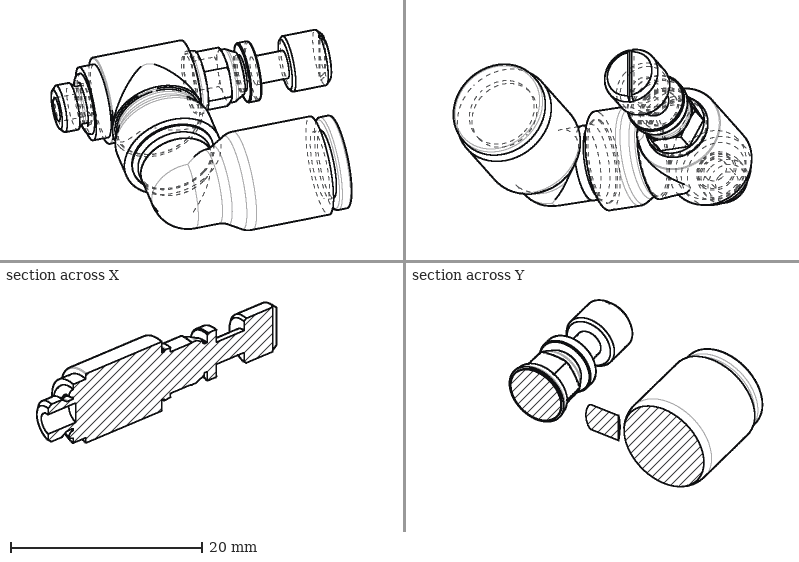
import cadquery as cq
import math


flare_angle = math.radians(30)

body_radius = 4.6
body_half_length = 4.85
body_edge_radius = 0.1

seat_radius = 3.15
seat_top = 5.1
flange_radius = 3.4
flange_top_radius = 3.27
flange_cone_start = 5.3
hex_bottom = 5.95
hex_top = 8.6
hex_across_flats = 5.55
hex_chamfer_radius = 2.95
hex_chamfer_height = 0.18
shoulder_radius = 2.83
shoulder_round_start = 9.1
shoulder_cone_start = 9.35
shoulder_cone_start_radius = 2.75
shoulder_cone_top = 10.22
shoulder_cone_top_radius = 2.28
neck_radius = 1.95
collar_bottom = 10.55
collar_top = 11.8
collar_radius = 3.18
collar_chamfer = 0.12
stem_radius = 1.5
knob_bottom = 15.25
knob_top = 19.55
knob_radius = 2.98
knob_top_chamfer = 0.5
knob_bottom_chamfer = 0.3
slot_width = 0.45
slot_depth = 0.6

spigot_radius = 3.9
spigot_end = -6.45
seal_ring_radius = 2.72
seal_section_radius = 0.53
groove_radius = 2.0
groove_end = -7.12
groove_fillet_length = 0.23
thread_radius = 2.5
thread_start = -7.85
thread_cone_angle = math.radians(45)
thread_end = -9.65
thread_chamfer = 0.4
bore_radius = 1.25
bore_depth = 3.5

branch_root_radius = 4.53
branch_end_radius = 4.9
swivel_root_fillet = 0.15
swivel_flare_start = 5.05
swivel_flare_root_length = 0.58
swivel_flare_cone_length = 0.82
swivel_flare_rim_length = 0.47
swivel_radius = 5.25
swivel_end = 10.28
sleeve_collar_radius = 4.45
sleeve_collar_end = 10.45
sleeve_cone_end = 10.95
sleeve_radius = 3.97
sleeve_end = 11.95
elbow_radius = 3.95

socket_x = 15.9
socket_radius = 5.25
socket_flare_start = 2.63
socket_flare_end = 5.95
socket_end = 14.37
release_neck_radius = 3.62
release_bottom = 15.15
release_top = 16.5
release_radius = 4.95
release_edge_radius = 0.23


def disc(radius, start, end):
    """Cylinder on the Y axis between two Y positions."""
    return cq.Workplane("XZ", origin=(0, end, 0)).circle(radius).extrude(end - start)


def turned(points):
    """Solid of revolution about Y from (radius, y) points, closed along the axis."""
    outline = [(0, points[0][1])] + points + [(0, points[-1][1])]
    return cq.Workplane("XY").polyline(outline).close().revolve(360, (0, 0), (0, 1))


def make_body():
    return disc(body_radius, -body_half_length, body_half_length).edges().fillet(body_edge_radius)


def make_hex():
    hex_corner_diameter = hex_across_flats / math.cos(math.pi / 6)
    hexagon = (
        cq.Workplane("XZ", origin=(0, hex_top, 0))
        .polygon(6, hex_corner_diameter)
        .extrude(hex_top - hex_bottom)
    )
    corner_cut = turned([
        (hex_corner_diameter / 2, hex_bottom),
        (hex_corner_diameter / 2, hex_top - hex_chamfer_height),
        (hex_chamfer_radius, hex_top),
    ])
    return hexagon.intersect(corner_cut)


def make_adjusting_screw():
    seat = turned([
        (seat_radius, 0),
        (seat_radius, seat_top),
        (flange_radius, seat_top),
        (flange_radius, flange_cone_start),
        (flange_top_radius, hex_bottom),
    ])
    shoulder = (
        cq.Workplane("XY")
        .moveTo(0, hex_top)
        .lineTo(shoulder_radius, hex_top)
        .lineTo(shoulder_radius, shoulder_round_start)
        .tangentArcPoint((shoulder_cone_start_radius, shoulder_cone_start), relative=False)
        .lineTo(shoulder_cone_top_radius, shoulder_cone_top)
        .lineTo(0, shoulder_cone_top)
        .close()
        .revolve(360, (0, 0), (0, 1))
    )
    neck = disc(neck_radius, shoulder_cone_top, collar_bottom)
    collar = disc(collar_radius, collar_bottom, collar_top).edges().chamfer(collar_chamfer)
    stem = disc(stem_radius, collar_top, knob_bottom)
    knob = (
        disc(knob_radius, knob_bottom, knob_top)
        .faces(">Y").edges().chamfer(knob_top_chamfer)
        .faces("<Y").edges().chamfer(knob_bottom_chamfer)
    )
    slot = cq.Workplane("XY").box(slot_width, 2 * slot_depth, 2 * knob_radius)
    knob = knob.cut(slot.translate((0, knob_top, 0)))
    screw = seat.union(make_hex())
    for piece in (shoulder, neck, collar, stem, knob):
        screw = screw.union(piece)
    return screw


def make_threaded_end():
    fillet_end = groove_end - groove_fillet_length
    fillet_end_radius = groove_radius + groove_fillet_length * math.tan(thread_cone_angle / 2)
    end = (
        cq.Workplane("XY")
        .lineTo(spigot_radius, 0)
        .lineTo(spigot_radius, spigot_end)
        .lineTo(groove_radius, spigot_end)
        .lineTo(groove_radius, groove_end)
        .tangentArcPoint((fillet_end_radius, fillet_end), relative=False)
        .lineTo(thread_radius, thread_start)
        .lineTo(thread_radius, thread_end + thread_chamfer)
        .lineTo(thread_radius - thread_chamfer, thread_end)
        .lineTo(0, thread_end)
        .close()
        .revolve(360, (0, 0), (0, 1))
    )
    seal = (
        cq.Workplane("XY")
        .center(seal_ring_radius, spigot_end)
        .circle(seal_section_radius)
        .revolve(360, (-seal_ring_radius, 0), (-seal_ring_radius, 1))
    )
    return end.union(seal)


def make_swivel_arm():
    root_rise = swivel_flare_root_length * math.tan(flare_angle / 2)
    cone_rise = swivel_flare_cone_length * math.tan(flare_angle)
    rim_rise = swivel_flare_rim_length * math.tan(flare_angle / 2)
    neck_radius = swivel_radius - root_rise - cone_rise - rim_rise
    cone_start = swivel_flare_start + swivel_flare_root_length
    cone_end = cone_start + swivel_flare_cone_length
    flare_end = cone_end + swivel_flare_rim_length
    return (
        cq.Workplane("XY")
        .lineTo(0, branch_root_radius)
        .lineTo(body_radius, branch_end_radius)
        .lineTo(body_radius, neck_radius + swivel_root_fillet)
        .tangentArcPoint((body_radius + swivel_root_fillet, neck_radius), relative=False)
        .lineTo(swivel_flare_start, neck_radius)
        .tangentArcPoint((cone_start, neck_radius + root_rise), relative=False)
        .lineTo(cone_end, swivel_radius - rim_rise)
        .tangentArcPoint((flare_end, swivel_radius), relative=False)
        .lineTo(swivel_end, swivel_radius)
        .lineTo(swivel_end, sleeve_collar_radius)
        .lineTo(sleeve_collar_end, sleeve_collar_radius)
        .lineTo(sleeve_cone_end, sleeve_radius)
        .lineTo(sleeve_end, sleeve_radius)
        .lineTo(sleeve_end, elbow_radius)
        .lineTo(socket_x, elbow_radius)
        .lineTo(socket_x, 0)
        .close()
        .revolve(360, (0, 0), (1, 0))
    )


def make_tube_socket():
    rise = socket_radius - elbow_radius
    length = socket_flare_end - socket_flare_start
    arc_slope = math.tan(flare_angle / 2)
    cone_slope = math.tan(flare_angle)
    arc_length = (length * cone_slope - rise) / (2 * (cone_slope - arc_slope))
    arc_rise = arc_length * arc_slope
    barrel = (
        cq.Workplane("XY")
        .lineTo(elbow_radius, 0)
        .lineTo(elbow_radius, socket_flare_start)
        .tangentArcPoint((elbow_radius + arc_rise, socket_flare_start + arc_length), relative=False)
        .lineTo(socket_radius - arc_rise, socket_flare_end - arc_length)
        .tangentArcPoint((socket_radius, socket_flare_end), relative=False)
        .lineTo(socket_radius, socket_end)
        .lineTo(0, socket_end)
        .close()
        .revolve(360, (0, 0), (0, 1))
    )
    corner = cq.Workplane("XY").sphere(elbow_radius)
    release_neck = disc(release_neck_radius, socket_end, release_bottom)
    release = disc(release_radius, release_bottom, release_top).edges().fillet(release_edge_radius)
    socket = barrel.union(corner).union(release_neck).union(release)
    return socket.translate((socket_x, 0, 0))


result = make_body()
for part in (make_adjusting_screw(), make_threaded_end(), make_swivel_arm(), make_tube_socket()):
    result = result.union(part)
result = result.cut(disc(bore_radius, thread_end, thread_end + bore_depth))